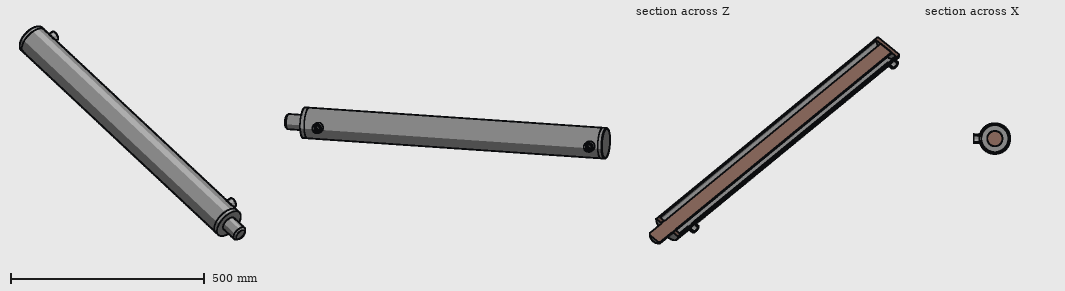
import cadquery as cq

barrel_length = 812.0
barrel_diameter = 80.0
bore_diameter = 70.0
end_thickness = 11.0
cap_chamfer = 2.0

overall_length = 860.0
rod_diameter = barrel_diameter / 2
rod_chamfer = 5.0

port_diameter = 25.0
port_bore_diameter = 15.5
overall_depth = 95.0
port_top = overall_depth - barrel_diameter / 2
port_positions = [32.0, 762.0]


def cylinder_x(diameter, start, end):
    """Round bar along the X axis between two X positions."""
    return cq.Workplane("YZ", origin=(start, 0, 0)).circle(diameter / 2).extrude(end - start)


def cylinder_y(diameter, x, top):
    """Round bar from the barrel axis out to Y = top."""
    return cq.Workplane("XZ", origin=(x, 0, 0)).circle(diameter / 2).extrude(-top)


def make_tube():
    """Open tube between cap and gland, drilled through its wall at each port."""
    start = end_thickness
    end = barrel_length - end_thickness
    tube = cylinder_x(barrel_diameter, start, end).cut(cylinder_x(bore_diameter, start, end))
    for x in port_positions:
        tube = tube.cut(cylinder_y(port_bore_diameter, x, port_top))
    return tube


def make_cap():
    """Disc closing the left end, chamfered on its outer edge."""
    return cylinder_x(barrel_diameter, 0, end_thickness).faces("<X").chamfer(cap_chamfer)


def make_gland():
    """Ring closing the right end around the rod."""
    start = barrel_length - end_thickness
    ring = cylinder_x(barrel_diameter, start, barrel_length)
    return ring.cut(cylinder_x(rod_diameter, start, barrel_length))


def make_rod():
    """Round rod from the cap to the chamfered outer tip."""
    return cylinder_x(rod_diameter, end_thickness, overall_length).faces(">X").chamfer(rod_chamfer)


def make_port(x):
    """Bored boss seated on the outside of the barrel."""
    boss = cylinder_y(port_diameter, x, port_top).cut(cylinder_y(port_bore_diameter, x, port_top))
    return boss.cut(cylinder_x(barrel_diameter, 0, barrel_length))


tube = make_tube()
cap = make_cap()
gland = make_gland()
rod = make_rod()
ports = [make_port(x).val() for x in port_positions]

result = cq.Compound.makeCompound([tube.val(), cap.val(), gland.val(), rod.val(), *ports])